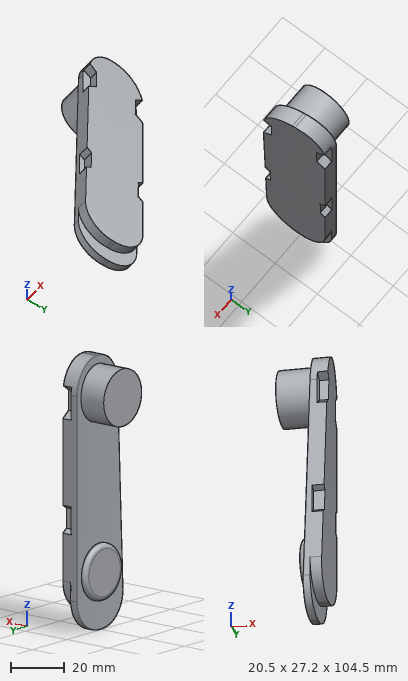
import cadquery as cq

HEIGHT = 104.5
WIDTH = 27.2
CORNER_RADIUS = 13.0
EDGE_FILLET = 0.2
FRONT_X = 10.7
THICKNESS = 6.9
FRONT_TWIST = 3.45
BACK_TWIST = 3.26

ROUND_DIAMETER = 22.0
PIN_Z = HEIGHT - 14.25
PAD_Z = 22.0
PAD_FACE_X = 8.8
PAD_FILLET = 1.85
EMBED = 5.0

STEP_X = FRONT_X + 3.1
STEP_HEIGHT = 7.0

UPPER_NOTCH = {"bottom": 82.1, "top": 94.8, "depth": 3.7, "narrowing": 2.4}
LOWER_NOTCH = {"bottom": 38.3, "top": 48.95, "depth": 2.2, "narrowing": 1.45}
UPPER_FLOOR_X = 16.5
LOWER_FLOOR_X = 14.6
STRAIGHT_FLOOR_X = 13.6

HALF_WIDTH = WIDTH / 2
BACK_X = FRONT_X + THICKNESS
CLEAR_X = BACK_X + THICKNESS


def section(front_shift, back_shift):
    """Corner points of a plate cross-section, with the -Y edges shifted in X."""
    return [
        (FRONT_X, HALF_WIDTH),
        (BACK_X, HALF_WIDTH),
        (BACK_X + back_shift, -HALF_WIDTH),
        (FRONT_X + front_shift, -HALF_WIDTH),
    ]


def rounded_bar(bottom, start_x, end_x):
    """Full-width bar from the given bottom to the top of the plate, with rounded corners."""
    height = HEIGHT - bottom
    return (
        cq.Workplane("YZ", origin=(start_x, 0, bottom + height / 2))
        .rect(WIDTH, height)
        .extrude(end_x - start_x)
        .edges("|X")
        .fillet(CORNER_RADIUS)
    )


def twisted_plate():
    twisted = (
        cq.Workplane("XY")
        .polyline(section(0, 0))
        .close()
        .workplane(offset=HEIGHT)
        .polyline(section(FRONT_TWIST, BACK_TWIST))
        .close()
        .loft(ruled=True)
    )
    front_layer = rounded_bar(0, 0, STEP_X)
    back_layer = rounded_bar(STEP_HEIGHT, STEP_X, CLEAR_X)
    plate = twisted.intersect(front_layer.union(back_layer))
    front_face = plate.faces(cq.selectors.NearestToPointSelector((FRONT_X, 0, HEIGHT / 2)))
    return front_face.edges().fillet(EDGE_FILLET)


def disc(face_x, z):
    """Round boss from its front face into the plate."""
    return (
        cq.Workplane("YZ", origin=(face_x, 0, z))
        .circle(ROUND_DIAMETER / 2)
        .extrude(FRONT_X + EMBED - face_x)
    )


def notch(side, floor_x, bottom, top, depth, narrowing):
    """Cutter for one notch; side is -1 for the -Y side and 1 for the +Y side."""
    outer_y = side * HALF_WIDTH
    inner_y = side * (HALF_WIDTH - depth)
    return (
        cq.Workplane("YZ", origin=(floor_x, 0, 0))
        .moveTo(outer_y, bottom)
        .lineTo(inner_y, bottom + narrowing)
        .lineTo(inner_y, top - narrowing)
        .lineTo(outer_y, top)
        .close()
        .extrude(CLEAR_X - floor_x)
    )


pin = disc(0, PIN_Z)
pad = disc(PAD_FACE_X, PAD_Z).faces("<X").edges().fillet(PAD_FILLET)

result = twisted_plate().union(pin).union(pad)
for sizes, floor_x in ((UPPER_NOTCH, UPPER_FLOOR_X), (LOWER_NOTCH, LOWER_FLOOR_X)):
    result = result.cut(notch(-1, floor_x, **sizes))
    result = result.cut(notch(1, STRAIGHT_FLOOR_X, **sizes))